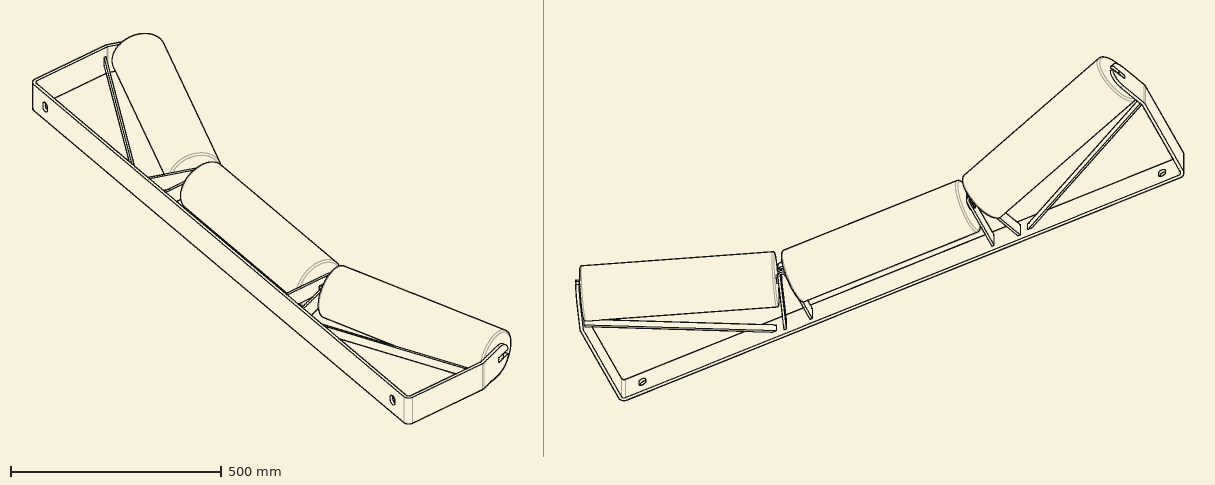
import cadquery as cq
import math


frame_length = 1490.0
strip_width = 80.0
strip_centre_z = 1.0
plate = 8.0
corner_radius = 15.0
flange_tip_height = 326.0
flange_tip_radius = 36.0

mount_spacing = 1371.0
mount_width = 18.0
mount_length = 27.0

roller_diameter = 133.0
roller_length = 465.0
rim_radius = 5.0
shaft_diameter = 21.0
shaft_flats = 14.0
end_gap = 5.0
centre_axis_height = 125.0
centre_axis_z = -3.0
wing_centre_x = 489.0
wing_centre_y = 215.0
trough_angle = 20.0
forward_tilt = 0.9

bracket_plate = 6.0
bracket_width = 45.0
bracket_bend_radius = 9.0

brace_thickness = 5.0
brace_width = 25.0
brace_foot_x = 337.0
brace_top_y = 218.0

support_face = roller_length / 2 + end_gap
shaft_end = support_face + plate
slope = math.tan(math.radians(trough_angle))
wing_axis = cq.Vector(math.cos(math.radians(trough_angle)), math.sin(math.radians(trough_angle)), 0)
wing_centre = cq.Vector(wing_centre_x, wing_centre_y, 0)


def flat_point(vector):
    return (vector.x, vector.y)


def bent_strip(centreline, bend_radius, thickness, width):
    """Plate of constant thickness that follows a polyline with rounded bends."""
    points = [cq.Vector(x, y, 0) for x, y in centreline]
    directions = [(b - a).normalized() for a, b in zip(points, points[1:])]
    offsets = [cq.Vector(-d.y, d.x, 0) * (thickness / 2) for d in directions]
    bends = []
    for i in range(1, len(points) - 1):
        turn = directions[i - 1].getAngle(directions[i])
        setback = bend_radius * math.tan(turn / 2)
        start = points[i] - directions[i - 1] * setback
        end = points[i] + directions[i] * setback
        bends.append((start, end, offsets[i - 1], offsets[i]))

    outline = cq.Workplane("XY").moveTo(*flat_point(points[0] + offsets[0]))
    for start, end, offset_in, offset_out in bends:
        outline = outline.lineTo(*flat_point(start + offset_in))
        outline = outline.tangentArcPoint(flat_point(end + offset_out), relative=False)
    outline = outline.lineTo(*flat_point(points[-1] + offsets[-1]))
    outline = outline.lineTo(*flat_point(points[-1] - offsets[-1]))
    for start, end, offset_in, offset_out in reversed(bends):
        outline = outline.lineTo(*flat_point(end - offset_out))
        outline = outline.tangentArcPoint(flat_point(start - offset_in), relative=False)
    outline = outline.lineTo(*flat_point(points[0] - offsets[0]))
    return outline.close().extrude(width).translate((0, 0, strip_centre_z - width / 2))


def bar_along_x(diameter, half_length):
    """Cylinder along X, centred on the origin."""
    return cq.Workplane("YZ", origin=(-half_length, 0, 0)).circle(diameter / 2).extrude(2 * half_length)


def place_centre(body):
    return body.translate((0, centre_axis_height, centre_axis_z))


def place_wing(body):
    """Move a body from the origin, axis along X, to the right wing roller position."""
    tilted = body.rotate((0, 0, 0), (0, 1, 0), -forward_tilt)
    return tilted.rotate((0, 0, 0), (0, 0, 1), trough_angle).translate(wing_centre)


def mirrored(body):
    return body.mirror("YZ")


def make_roller():
    """Roller with rounded rims and a flatted shaft stub at each end, along X."""
    flats = cq.Workplane("XY").box(2 * shaft_end, shaft_diameter, shaft_flats)
    shaft = bar_along_x(shaft_diameter, shaft_end).intersect(flats)
    shell = bar_along_x(roller_diameter, roller_length / 2)
    shell = shell.faces("<X or >X").edges().fillet(rim_radius)
    return shell.union(shaft)


def make_shaft_slots():
    """Cutter for the open-topped slots that hold both shaft ends of one roller."""
    reach = shaft_end + plate
    seat = bar_along_x(shaft_diameter, reach)
    opening = cq.Workplane("XY").box(
        2 * reach, roller_diameter, shaft_diameter, centered=(True, False, True)
    )
    slot_width = cq.Workplane("XY").box(2 * reach, 2 * roller_diameter, shaft_flats)
    between_ends = cq.Workplane("XY").box(roller_length, 2 * roller_diameter, shaft_diameter)
    return seat.union(opening).intersect(slot_width).cut(between_ends)


wing_slots = place_wing(make_shaft_slots())
centre_slots = place_centre(make_shaft_slots())


def make_frame():
    """Base strip with upturned sides whose flanges lean in to face the wing rollers."""
    side_x = frame_length / 2 - plate / 2
    support = wing_centre + wing_axis * (support_face + plate / 2)
    bend_y = support.y - (side_x - support.x) / slope
    tip_x = side_x - (flange_tip_height - bend_y) * slope
    right_side = [(side_x, plate / 2), (side_x, bend_y), (tip_x, flange_tip_height)]
    left_side = [(-x, y) for x, y in reversed(right_side)]
    frame = bent_strip(left_side + right_side, corner_radius - plate / 2, plate, strip_width)

    for x in (-tip_x, tip_x):
        for z in (strip_centre_z - strip_width / 2, strip_centre_z + strip_width / 2):
            tip_corner = cq.selectors.NearestToPointSelector((x, flange_tip_height, z))
            frame = frame.edges(tip_corner).fillet(flange_tip_radius)

    mounts = (
        cq.Workplane("XZ", origin=(0, 0, strip_centre_z))
        .rarray(mount_spacing, 15, 2, 1)
        .slot2D(mount_length, mount_width, 90)
        .extrude(-plate)
    )
    return frame.cut(mounts).cut(wing_slots).cut(mirrored(wing_slots))


def make_bracket():
    """Hairpin bracket between the centre roller and the right wing roller."""
    upright_x = support_face + bracket_plate / 2
    support = wing_centre - wing_axis * upright_x
    apex_y = support.y + (support.x - upright_x) / slope
    legs_start_y = -plate
    sloped_foot_x = upright_x + (apex_y - legs_start_y) * slope
    bracket = bent_strip(
        [(upright_x, legs_start_y), (upright_x, apex_y), (sloped_foot_x, legs_start_y)],
        bracket_bend_radius,
        bracket_plate,
        bracket_width,
    )
    below_base_top = (
        cq.Workplane("XY").box(frame_length, 4 * plate, strip_width).translate((0, -plate, 0))
    )
    return bracket.cut(below_base_top).cut(wing_slots).cut(centre_slots)


def make_brace():
    """Flat diagonal bar from the base strip to the right side of the frame."""
    top_x = frame_length / 2 - plate
    angle = math.atan2(brace_top_y - plate, top_x - brace_foot_x)
    foot_half = brace_thickness / 2 / math.sin(angle)
    top_half = brace_thickness / 2 / math.cos(angle)
    corners = [
        (brace_foot_x - foot_half, plate),
        (brace_foot_x + foot_half, plate),
        (top_x, brace_top_y - top_half),
        (top_x, brace_top_y + top_half),
    ]
    brace = cq.Workplane("XY").polyline(corners).close().extrude(brace_width)
    return brace.translate((0, 0, strip_centre_z - brace_width / 2))


frame = make_frame()
centre_roller = place_centre(make_roller())
wing_roller = place_wing(make_roller())
bracket = make_bracket()
brace = make_brace()

bodies = [frame.solids().val(), centre_roller.solids().val()]
for right_body in (wing_roller, bracket, brace):
    for body in (right_body, mirrored(right_body)):
        bodies.append(body.solids().val())

result = cq.Compound.makeCompound(bodies)